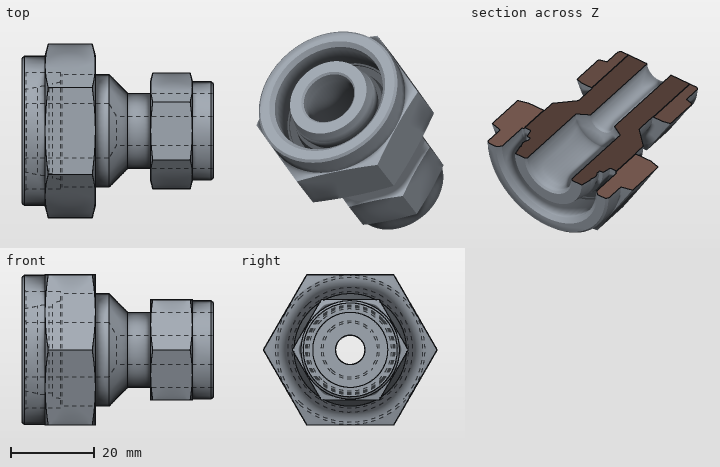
import cadquery as cq
import math

LENGTH = 45.8
LARGE_HEX_START = 5.55
LARGE_HEX_END = 17.55
SHOULDER_END = 20.85
NECK_START = 25.3
SMALL_HEX_START = 30.8
SMALL_HEX_END = 40.7

LARGE_HEX_FLATS = 36.0
LARGE_COLLAR_RADIUS = 17.85
LARGE_BORE_RADIUS = 13.92
LARGE_MOUTH_RADIUS = 14.95
LARGE_BORE_DEPTH = 9.15
MOUTH_CHAMFER = LARGE_MOUTH_RADIUS - LARGE_BORE_RADIUS

SMALL_HEX_FLATS = 24.0
SMALL_COLLAR_RADIUS = 11.75

COLLAR_CHAMFER = 0.55
HEX_CHAMFER_ANGLE = 15.0

SHOULDER_RADIUS = 13.45
NECK_RADIUS = 8.98
NIPPLE_START = 0.65
NIPPLE_TIP_RADIUS = 9.85
NIPPLE_HALF_ANGLE = 12.0
NIPPLE_END = 9.6
GROOVE_START = 3.7
GROOVE_END = 7.35
BEAD_END = 6.4
BEAD_RADIUS = 10.7
GROOVE_RADIUS = 10.25
BORE_RADIUS = 6.5
BORE_MOUTH_RADIUS = 6.95
BORE_END = 20.85
THROUGH_RADIUS = 3.5
BORE_CONE_HALF_ANGLE = 60.0


def revolve_about_x(profile):
    """Solid of revolution about the X axis from (x, radius) points."""
    sketch = cq.Workplane("XY").polyline(profile).close()
    return sketch.revolve(360, (0, 0, 0), (1, 0, 0))


def hexagon(start, end, flats):
    """Hexagonal prism with flats facing up and down and corners chamfered at both ends."""
    corner_radius = flats / math.sqrt(3)
    flat_radius = flats / 2
    setback = (corner_radius - flat_radius) * math.tan(math.radians(HEX_CHAMFER_ANGLE))
    prism = (
        cq.Workplane("YZ", origin=(start, 0, 0))
        .polygon(6, 2 * corner_radius)
        .extrude(end - start)
    )
    envelope = revolve_about_x([
        (start, 0),
        (start, flat_radius),
        (start + setback, corner_radius),
        (end - setback, corner_radius),
        (end, flat_radius),
        (end, 0),
    ])
    return prism.intersect(envelope)


def make_collar(hex_face, free_end, radius):
    """Round collar from the hexagon to the nut's free end, chamfered at the free end."""
    chamfer_start = free_end + math.copysign(COLLAR_CHAMFER, hex_face - free_end)
    return revolve_about_x([
        (hex_face, 0),
        (hex_face, radius),
        (chamfer_start, radius),
        (free_end, radius - COLLAR_CHAMFER),
        (free_end, 0),
    ])


def make_large_nut():
    collar = make_collar(LARGE_HEX_START, 0, LARGE_COLLAR_RADIUS)
    opening = revolve_about_x([
        (0, 0),
        (0, LARGE_MOUTH_RADIUS),
        (MOUTH_CHAMFER, LARGE_BORE_RADIUS),
        (LARGE_BORE_DEPTH, LARGE_BORE_RADIUS),
        (LARGE_BORE_DEPTH, SHOULDER_RADIUS),
        (LARGE_HEX_END, SHOULDER_RADIUS),
        (LARGE_HEX_END, 0),
    ])
    return hexagon(LARGE_HEX_START, LARGE_HEX_END, LARGE_HEX_FLATS).union(collar).cut(opening)


def make_small_nut():
    collar = make_collar(SMALL_HEX_END, LENGTH, SMALL_COLLAR_RADIUS)
    opening = revolve_about_x([
        (SMALL_HEX_START, 0),
        (SMALL_HEX_START, NECK_RADIUS),
        (LENGTH, NECK_RADIUS),
        (LENGTH, 0),
    ])
    return hexagon(SMALL_HEX_START, SMALL_HEX_END, SMALL_HEX_FLATS).union(collar).cut(opening)


def nipple_radius(x):
    """Outer radius of the sealing cone at station x."""
    return NIPPLE_TIP_RADIUS + (x - NIPPLE_START) * math.tan(math.radians(NIPPLE_HALF_ANGLE))


def make_adapter():
    bore_cone_length = (BORE_RADIUS - THROUGH_RADIUS) / math.tan(math.radians(BORE_CONE_HALF_ANGLE))
    bore_chamfer = BORE_MOUTH_RADIUS - BORE_RADIUS
    profile = (
        cq.Workplane("XY")
        .moveTo(NIPPLE_START, BORE_MOUTH_RADIUS)
        .lineTo(NIPPLE_START, NIPPLE_TIP_RADIUS)
        .lineTo(GROOVE_START, nipple_radius(GROOVE_START))
        .lineTo(GROOVE_START, GROOVE_RADIUS)
        .threePointArc(
            ((GROOVE_START + BEAD_END) / 2, BEAD_RADIUS),
            (BEAD_END, GROOVE_RADIUS),
        )
        .lineTo(GROOVE_END, GROOVE_RADIUS)
        .lineTo(GROOVE_END, nipple_radius(GROOVE_END))
        .lineTo(NIPPLE_END, nipple_radius(NIPPLE_END))
        .lineTo(NIPPLE_END, SHOULDER_RADIUS)
        .lineTo(SHOULDER_END, SHOULDER_RADIUS)
        .lineTo(NECK_START, NECK_RADIUS)
        .lineTo(LENGTH, NECK_RADIUS)
        .lineTo(LENGTH, THROUGH_RADIUS)
        .lineTo(BORE_END + bore_cone_length, THROUGH_RADIUS)
        .lineTo(BORE_END, BORE_RADIUS)
        .lineTo(NIPPLE_START + bore_chamfer, BORE_RADIUS)
        .close()
    )
    return profile.revolve(360, (0, 0, 0), (1, 0, 0))


large_nut = make_large_nut()
small_nut = make_small_nut()
adapter = make_adapter()

result = cq.Compound.makeCompound([large_nut.val(), small_nut.val(), adapter.val()])